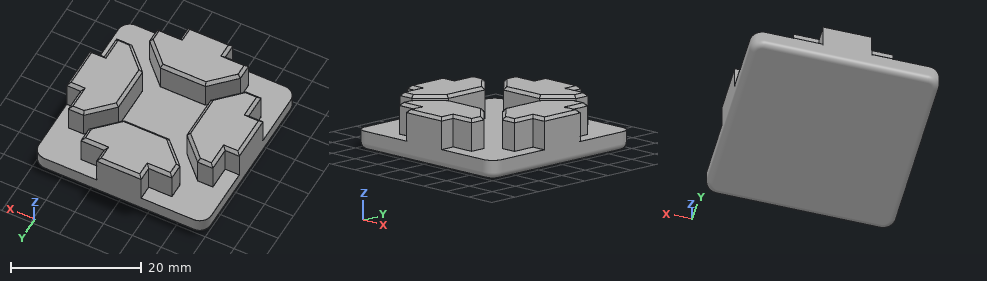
import cadquery as cq

side = 30.0
total_height = 8.0
base_thickness = 3.0
corner_radius = 2.05
bottom_fillet = 1.0

lug_count = 4
neck_width = 7.75
head_width = 15.78
head_inner = 5.95
head_outer = 12.55
corner_cut = 3.95
top_chamfer = 0.5


def make_base():
    """Rounded square plate with a filleted underside."""
    plate = cq.Workplane("XY").rect(side, side).extrude(base_thickness)
    plate = plate.edges("|Z").fillet(corner_radius)
    return plate.faces("<Z").edges().fillet(bottom_fillet)


def make_lug():
    """T-shaped lug on the -Y side, its neck flush with the plate edge."""
    half_neck = neck_width / 2
    half_head = head_width / 2
    half_inner = half_head - corner_cut
    right_half = [
        (half_neck, -side / 2),
        (half_neck, -head_outer),
        (half_head, -head_outer),
        (half_head, -head_inner - corner_cut),
        (half_inner, -head_inner),
    ]
    left_half = [(-x, y) for x, y in reversed(right_half)]
    lug = (
        cq.Workplane("XY")
        .workplane(offset=base_thickness)
        .polyline(right_half + left_half)
        .close()
        .extrude(total_height - base_thickness)
    )
    return lug.faces(">Z").edges().chamfer(top_chamfer)


result = make_base()
lug = make_lug()
for index in range(lug_count):
    angle = index * 360 / lug_count
    result = result.union(lug.rotate((0, 0, 0), (0, 0, 1), angle))